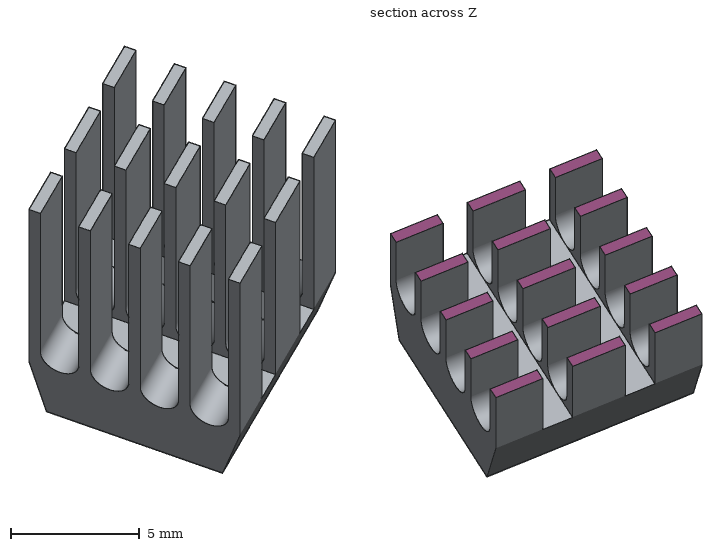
import cadquery as cq

width = 9.0
height = 12.1

base_top = 2.8
pad_thickness = 0.1
pad_inset = 0.1
taper_inset = 0.75

fin_count = 5
fin_thickness = 0.5
fin_pitch = (width - fin_thickness) / (fin_count - 1)
groove_width = fin_pitch - fin_thickness
groove_radius = groove_width / 2

slot_width = 1.3
middle_blade_width = 2.3
slot_offset = (middle_blade_width + slot_width) / 2

half_width = width / 2
foot_half_width = half_width - taper_inset


def make_body():
    """Solid block with tapered lower flanks, extruded along Y."""
    return (
        cq.Workplane("XZ")
        .moveTo(-foot_half_width, pad_thickness)
        .lineTo(foot_half_width, pad_thickness)
        .lineTo(half_width, base_top)
        .lineTo(half_width, height)
        .lineTo(-half_width, height)
        .lineTo(-half_width, base_top)
        .close()
        .extrude(half_width, both=True)
    )


def make_groove(center_x):
    """Round-bottomed groove between two fins, open at the top."""
    left = center_x - groove_radius
    right = center_x + groove_radius
    arc_start = base_top + groove_radius
    return (
        cq.Workplane("XZ")
        .moveTo(left, height)
        .lineTo(left, arc_start)
        .threePointArc((center_x, base_top), (right, arc_start))
        .lineTo(right, height)
        .close()
        .extrude(half_width, both=True)
    )


def make_cross_slot(center_y):
    """Flat-bottomed slot running through all fins along X."""
    return (
        cq.Workplane("XY", origin=(0, center_y, base_top))
        .rect(width, slot_width)
        .extrude(height - base_top)
    )


def make_pad():
    """Thin pad under the base, inset on all four sides."""
    return (
        cq.Workplane("XY")
        .rect(2 * (foot_half_width - pad_inset), width - 2 * pad_inset)
        .extrude(pad_thickness)
    )


result = make_body().union(make_pad())

for index in range(fin_count - 1):
    groove_x = -half_width + fin_thickness + groove_radius + index * fin_pitch
    result = result.cut(make_groove(groove_x))

for slot_y in (-slot_offset, slot_offset):
    result = result.cut(make_cross_slot(slot_y))